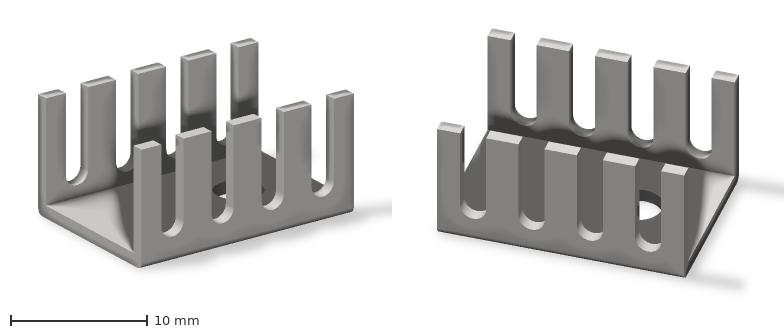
import cadquery as cq

length = 19.05
width = 13.2
height = 9.52
wall = 1.01
bend_radius = 0.5

slot_count = 4
slot_width = 2.0
slot_pitch = 4.5
slot_floor = 2.0

hole_diameter = 3.81
hole_y = 3.81


def make_channel():
    """Base and two side walls, rounded along the outer bottom edges."""
    body = cq.Workplane("XY").box(width, length, height, centered=(True, True, False))
    body = body.edges("|Y and <Z").fillet(bend_radius)
    inside = (
        cq.Workplane("XY")
        .workplane(offset=wall)
        .box(width - 2 * wall, length, height, centered=(True, True, False))
    )
    return body.cut(inside)


def make_slot(y):
    """Open-topped slot at the given Y, running across both side walls."""
    left = y - slot_width / 2
    right = y + slot_width / 2
    arc_start = slot_floor + slot_width / 2
    return (
        cq.Workplane("YZ")
        .moveTo(left, height)
        .lineTo(left, arc_start)
        .threePointArc((y, slot_floor), (right, arc_start))
        .lineTo(right, height)
        .close()
        .extrude(width / 2, both=True)
    )


def make_mounting_hole():
    return cq.Workplane("XY").center(0, hole_y).circle(hole_diameter / 2).extrude(wall)


result = make_channel().cut(make_mounting_hole())
for index in range(slot_count):
    slot_y = (index - (slot_count - 1) / 2) * slot_pitch
    result = result.cut(make_slot(slot_y))